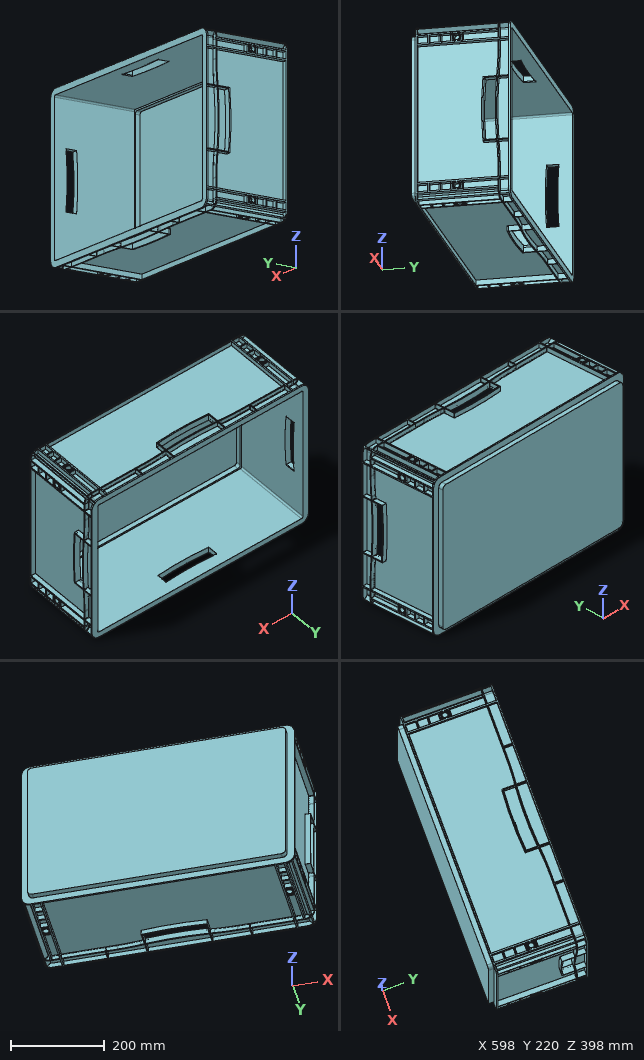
import cadquery as cq

length = 598.0
height = 398.0
depth = 220.0
half_length = length / 2
half_height = height / 2
rim_y = depth / 2

corner_radius = 20.0
recess = 12.0
wall = 3.5
thin_rib = 2.5
cross_rib = 3.0
wall_radius = corner_radius - recess
cavity_inset = recess + wall

rim_thickness = 3.9
flange_depth = 24.5
base_depth = 204.5
foot_height = 12.0
base_end = depth - foot_height

foot_inset = 16.0
foot_radius = 10.0

handle_half = 72.5
handle_bottom = 60.0
frame_thickness = 3.0
handle_sag = 3.0
dip_half = 131.5
dip_turn = 81.0
dip_sag = 5.5
dip_lower_sag = 6.0

column_inner = 44.0
long_side_rib = 158.0
cross_rib_depths = [104.5, 127.5, 152.5, 178.0]
tube_outer = 9.0
tube_bore = 6.5


def plate(inset, radius, start, end):
    """Rounded rectangle parallel to XZ, between two depths below the rim."""
    return (
        cq.Workplane("XZ", origin=(0, rim_y - start, 0))
        .rect(length - 2 * inset, height - 2 * inset)
        .extrude(end - start)
        .edges("|Y")
        .fillet(radius)
    )


def bar(left, right, start, end, base, rise):
    """Block on a side that faces +Z: x range, depth range, starting z and rise."""
    return cq.Workplane("XY").box(right - left, end - start, rise, centered=False).translate(
        (left, rim_y - end, base)
    )


def bowed(half_span, start, end, start_sag, end_sag, base, rise):
    """Block whose two long edges bow toward the foot at mid-span."""
    top = rim_y - start
    bottom = rim_y - end
    return (
        cq.Workplane("XY", origin=(0, 0, base))
        .moveTo(-half_span, top)
        .threePointArc((0, top - start_sag), (half_span, top))
        .lineTo(half_span, bottom)
        .threePointArc((0, bottom - end_sag), (-half_span, bottom))
        .close()
        .extrude(rise)
    )


def dip_depth(x, start, sag):
    """Depth of a flange face at a distance x from mid-span: straight, then a smooth S down to sag."""
    x = abs(x)
    if x >= dip_half:
        return start
    if x >= dip_turn:
        return start + sag * (dip_half - x) ** 2 / (dip_half * (dip_half - dip_turn))
    return start + sag * (1 - x**2 / (dip_half * dip_turn))


def flange_top(x):
    return dip_depth(x, flange_depth, dip_sag)


def flange_bottom(x):
    return dip_depth(x, flange_depth + thin_rib, dip_lower_sag)


def dipping_flange(base, rise):
    """Middle stretch of the flange: an S curve, the arc over the handle, and a mirrored S curve."""
    middle = (dip_half + dip_turn) / 2
    stations = [-dip_half, -middle, -dip_turn, 0, dip_turn, middle, dip_half]
    upper = [(x, rim_y - flange_top(x)) for x in stations]
    lower = [(x, rim_y - flange_bottom(x)) for x in reversed(stations)]
    outline = cq.Workplane("XY", origin=(0, 0, base)).moveTo(*lower[-1])
    for face in (upper, lower):
        outline = outline.lineTo(*face[0])
        for i in range(1, len(face), 2):
            outline = outline.threePointArc(face[i], face[i + 1])
    return outline.wire().extrude(rise)


def side_ribs(half_span, half_width, rim_ribs):
    """All ribs of one side, built facing +Z at z = half_width."""
    base = half_width - cavity_inset
    rise = cavity_inset

    ribs = dipping_flange(base, rise)
    frame_start = flange_top(handle_half)
    bow = flange_top(0) - frame_start
    ribs = ribs.union(bowed(handle_half, frame_start, handle_bottom, bow, handle_sag, base, rise))

    for x in rim_ribs + [handle_half - thin_rib / 2]:
        end = flange_top(x) + thin_rib / 2
        for centre in (-x, x):
            left = centre - thin_rib / 2
            ribs = ribs.union(bar(left, left + thin_rib, 0, end, base, rise))

    outer = half_span - corner_radius
    inner = half_span - column_inner
    middle = (outer + inner) / 2
    tube_depth = (cross_rib_depths[0] + cross_rib_depths[1] + cross_rib) / 2
    column = bar(inner, inner + wall, 0, base_end, base, rise)
    column = column.union(bar(outer - wall, outer, flange_depth, base_end, base, rise))
    for start in cross_rib_depths:
        column = column.union(bar(inner, outer, start, start + cross_rib, base, rise))
    tube = (
        cq.Workplane("XY", origin=(middle, rim_y - tube_depth, base))
        .circle(tube_outer)
        .circle(tube_bore)
        .extrude(rise)
    )
    column = column.union(tube)
    return ribs.union(column).union(column.mirror("YZ"))


def handle_opening(half_width):
    """Through opening inside the handle frame of a side that faces +Z."""
    half_span = handle_half - thin_rib
    start = flange_bottom(half_span)
    end = handle_bottom - frame_thickness
    bow = flange_bottom(0) - start
    base = half_width - 2 * cavity_inset
    return bowed(half_span, start, end, bow, handle_sag, base, 3 * cavity_inset)


def on_both_sides(shape, turn):
    """The shape turned about Y, together with its copy on the opposite side."""
    axis = ((0, 0, 0), (0, 1, 0))
    first = shape.rotate(*axis, turn)
    return first.union(shape.rotate(*axis, turn + 180))


def corner_ribs():
    """Diagonal rib at each corner, trimmed to the rounded outline."""
    ribs = cq.Workplane("XY")
    for sx in (-1, 1):
        for sz in (-1, 1):
            rib = (
                cq.Workplane("XY")
                .box(2 * corner_radius, base_end, wall)
                .rotate((0, 0, 0), (0, 1, 0), -45 * sx * sz)
                .translate((
                    sx * (half_length - corner_radius),
                    rim_y - base_end / 2,
                    sz * (half_height - corner_radius),
                ))
            )
            ribs = ribs.add(rib)
    return plate(0, corner_radius, 0, base_end).intersect(ribs.combine())


def flange():
    """Flat flange around the box, left out where the sides dip."""
    flat = plate(0, corner_radius, flange_depth, flange_depth + thin_rib)
    gap = 2 * dip_half
    flat = flat.cut(cq.Workplane("XY").box(gap, depth, 2 * height))
    return flat.cut(cq.Workplane("XY").box(2 * length, depth, gap))


body = plate(recess, wall_radius, 0, base_end)
body = body.union(plate(0, corner_radius, 0, rim_thickness))
body = body.union(flange())
body = body.union(plate(0, corner_radius, base_depth, base_end))
body = body.union(plate(foot_inset, foot_radius, base_depth, depth))

body = body.union(on_both_sides(side_ribs(half_length, half_height, [long_side_rib]), 0))
body = body.union(on_both_sides(side_ribs(half_height, half_length, []), 90))
body = body.union(corner_ribs())

body = body.cut(plate(cavity_inset, corner_radius - cavity_inset, 0, base_depth))
body = body.cut(plate(foot_inset + wall, foot_radius - wall, base_depth, depth - wall))

body = body.cut(on_both_sides(handle_opening(half_height), 0))
result = body.cut(on_both_sides(handle_opening(half_length), 90))